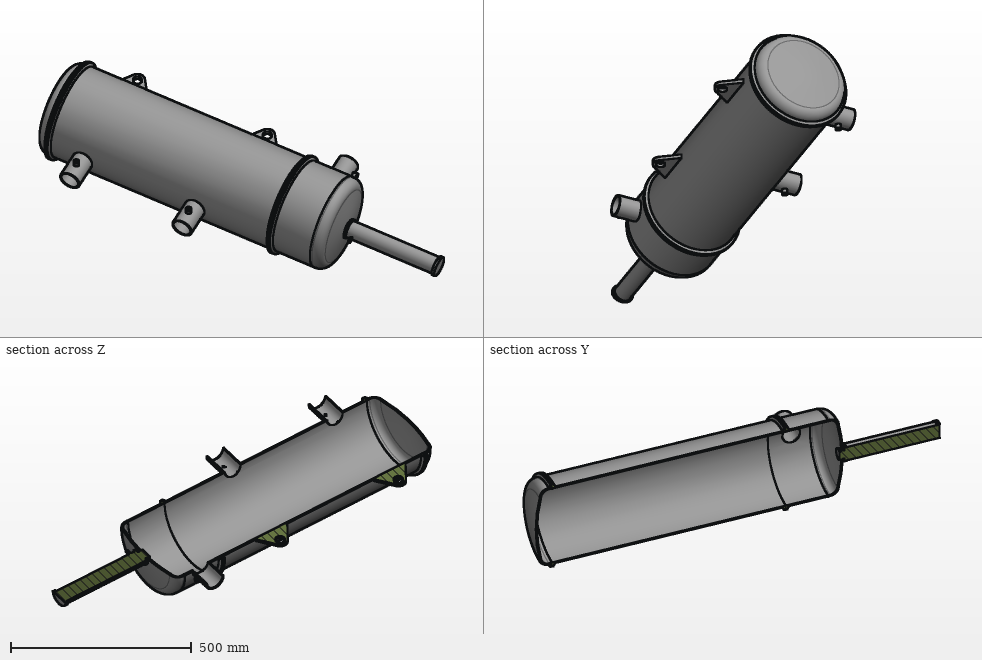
import cadquery as cq
import math

overall_length = 1202.0
vessel_radius = 273.0 / 2
wall = 6.0
joint_xs = (49.0, 744.0)
header_end = 869.0

knuckle_radius = 28.0
crown_rise = 12.0
header_dome_skirt = 6.0
dome_apexes = (0, header_end + header_dome_skirt + knuckle_radius + crown_rise)

flange_radius = 292.0 / 2
flange_base_width = 10.0
flange_rim_width = 5.0

nozzle_radius = 30.0
nozzle_wall = 4.0
shell_nozzle_xs = (159.0, 510.0)
shell_nozzle_reach = 213.0
header_nozzle_x = 814.0
header_nozzle_reach = 200.0

boss_radius = 7.8
boss_bore_radius = 3.0
boss_reach = 42.0
shell_boss_y = -174.0
header_boss_y = 170.0

lug_xs = (166.0, 572.0)
lug_base_width = 108.0
lug_tip_radius = 22.0
lug_hole_radius = 25.0 / 2
lug_hole_y = 175.0
lug_thickness = 12.0

rod_radius = 25.0
neck_radius = 17.0
rod_start = 918.0
rod_flange_half_width = 30.0
inner_flange_thickness = 6.0
end_flange_thickness = 8.0
pin_radius = 4.0
pin_x = 941.0
pin_reach = 41.0


def cylinder(plane, centre, radius, length):
    """Cylinder that starts at `centre` and runs along the normal of `plane`."""
    return cq.Workplane(plane, origin=centre).circle(radius).extrude(length)


def dome_solid(apex_x, rim_x, inset):
    """Solid dome with its crown at apex_x and a flat rim at rim_x, `inset` below the outer skin."""
    outward = 1 if apex_x > rim_x else -1
    crown_edge_radius = vessel_radius - knuckle_radius
    knuckle = knuckle_radius - inset
    crown_edge_x = apex_x - outward * (crown_rise + inset)
    knuckle_start_x = crown_edge_x - outward * knuckle
    diagonal = knuckle * math.sqrt(0.5)
    sphere_radius = (crown_edge_radius**2 + crown_rise**2) / (2 * crown_rise)
    half_crown_radius = crown_edge_radius / 2
    half_crown_drop = sphere_radius - math.sqrt(sphere_radius**2 - half_crown_radius**2)
    skin_apex_x = apex_x - outward * inset
    return (
        cq.Workplane("XY")
        .moveTo(rim_x, 0)
        .lineTo(rim_x, vessel_radius - inset)
        .lineTo(knuckle_start_x, vessel_radius - inset)
        .threePointArc(
            (knuckle_start_x + outward * diagonal, crown_edge_radius + diagonal),
            (crown_edge_x, crown_edge_radius),
        )
        .threePointArc((skin_apex_x - outward * half_crown_drop, half_crown_radius), (skin_apex_x, 0))
        .close()
        .revolve(360, (0, 0, 0), (1, 0, 0))
    )


def make_dome(apex_x, rim_x):
    return dome_solid(apex_x, rim_x, 0).cut(dome_solid(apex_x, rim_x, wall))


def half_flange(joint_x, side):
    """Solid disc with a sloped back, on the `side` (-1 or +1 along X) of a joint."""
    return (
        cq.Workplane("XY")
        .moveTo(joint_x, 0)
        .lineTo(joint_x, flange_radius)
        .lineTo(joint_x + side * flange_rim_width, flange_radius)
        .lineTo(joint_x + side * flange_base_width, vessel_radius)
        .lineTo(joint_x + side * flange_base_width, 0)
        .close()
        .revolve(360, (0, 0, 0), (1, 0, 0))
    )


def make_end_flange():
    """Ring around the skirt of the closed dome."""
    bore_start = joint_xs[0] - flange_base_width
    bore = cylinder("YZ", (bore_start, 0, 0), vessel_radius, flange_base_width)
    return half_flange(joint_xs[0], -1).cut(bore)


def make_shell():
    start, end = joint_xs
    shell = cylinder("YZ", (start, 0, 0), vessel_radius, end - start)
    for x in lug_xs:
        shell = shell.union(make_lug(x))
    shell = shell.union(half_flange(start, 1)).union(half_flange(end, -1))
    for x in shell_nozzle_xs:
        shell = shell.union(cylinder("XZ", (x, 0, 0), nozzle_radius, shell_nozzle_reach))
        shell = shell.union(cylinder("XY", (x, shell_boss_y, -boss_reach), boss_radius, 2 * boss_reach))
    shell = shell.cut(cylinder("YZ", (start, 0, 0), vessel_radius - wall, end - start))
    for x in shell_nozzle_xs:
        shell = shell.cut(cylinder("XZ", (x, 0, 0), nozzle_radius - nozzle_wall, shell_nozzle_reach))
        shell = shell.cut(cylinder("XY", (x, shell_boss_y, -boss_reach), boss_bore_radius, 2 * boss_reach))
    return shell


def make_lug(x):
    """Plate with straight flanks tangent to a round tip about its hole."""
    half_base = lug_base_width / 2
    height = lug_hole_y - vessel_radius
    to_corner = math.hypot(half_base, height)
    tangent_angle = math.acos(lug_tip_radius / to_corner) - math.atan2(height, half_base)
    touch_x = lug_tip_radius * math.cos(tangent_angle)
    touch_y = lug_hole_y + lug_tip_radius * math.sin(tangent_angle)
    foot_y = vessel_radius - wall
    return (
        cq.Workplane("XY", origin=(x, 0, -lug_thickness / 2))
        .moveTo(-half_base, foot_y)
        .lineTo(half_base, foot_y)
        .lineTo(half_base, vessel_radius)
        .lineTo(touch_x, touch_y)
        .threePointArc((0, lug_hole_y + lug_tip_radius), (-touch_x, touch_y))
        .lineTo(-half_base, vessel_radius)
        .close()
        .moveTo(0, lug_hole_y)
        .circle(lug_hole_radius)
        .extrude(lug_thickness)
    )


def make_header():
    start = joint_xs[1]
    length = header_end - start
    header = cylinder("YZ", (start, 0, 0), vessel_radius, length).union(half_flange(start, 1))
    header = header.union(cylinder("XZ", (header_nozzle_x, 0, 0), nozzle_radius, -header_nozzle_reach))
    header = header.union(cylinder("YZ", (header_nozzle_x, header_boss_y, 0), boss_radius, boss_reach))
    header = header.cut(cylinder("YZ", (start, 0, 0), vessel_radius - wall, length))
    header = header.cut(
        cylinder("XZ", (header_nozzle_x, 0, 0), nozzle_radius - nozzle_wall, -header_nozzle_reach)
    )
    return header.cut(cylinder("YZ", (header_nozzle_x, header_boss_y, 0), boss_bore_radius, boss_reach))


def make_rod_flange(x, thickness):
    return cq.Workplane("YZ", origin=(x, 0, 0)).ellipse(rod_flange_half_width, rod_radius).extrude(thickness)


def make_rod():
    neck_start = dome_apexes[1] - crown_rise
    rod = cylinder("YZ", (neck_start, 0, 0), neck_radius, rod_start - neck_start)
    rod = rod.union(cylinder("YZ", (rod_start, 0, 0), rod_radius, overall_length - rod_start))
    rod = rod.union(make_rod_flange(rod_start, inner_flange_thickness))
    rod = rod.union(make_rod_flange(overall_length - end_flange_thickness, end_flange_thickness))
    return rod.union(cylinder("XZ", (pin_x, 0, 0), pin_radius, pin_reach))


dome_rims = (joint_xs[0], header_end)
closed_dome, header_dome = [make_dome(apex, rim) for apex, rim in zip(dome_apexes, dome_rims)]
rod = make_rod()
header_dome = header_dome.cut(rod)
end_flange = make_end_flange()
shell = make_shell()
header = make_header()

result = cq.Compound.makeCompound(
    [closed_dome.val(), header_dome.val(), end_flange.val(), shell.val(), header.val(), rod.val()]
)